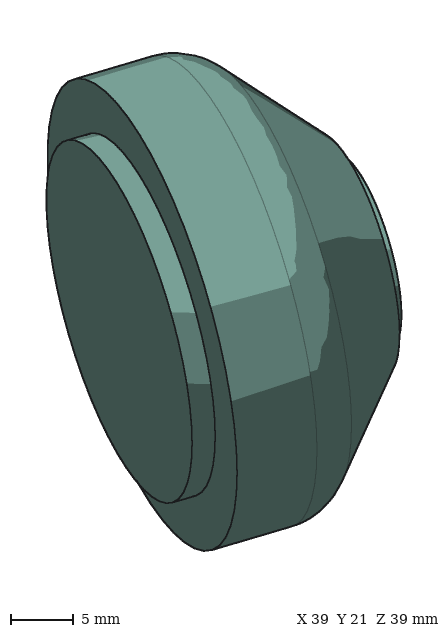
import cadquery as cq

body_diameter = 39.0
total_length = 21.0
front_disc_diameter = 30.0
front_disc_length = 2.0
rim_length = 9.0
shoulder_radius = 5.0
cone_end_diameter = 20.0
back_disc_diameter = 16.0
back_disc_length = 1.0

rim_start = front_disc_length
shoulder = rim_start + rim_length
cone_end = total_length - back_disc_length


def disc(diameter, start, length):
    """Solid disc on the Y axis, extending toward +Y from start."""
    plane = cq.Workplane("XZ", origin=(0, start, 0))
    return plane.circle(diameter / 2).extrude(-length)


def tapered_body():
    """Rim and cone revolved about Y, with a rounded shoulder between them."""
    profile = (
        cq.Workplane("XY")
        .moveTo(0, rim_start)
        .lineTo(body_diameter / 2, rim_start)
        .lineTo(body_diameter / 2, shoulder)
        .lineTo(cone_end_diameter / 2, cone_end)
        .lineTo(0, cone_end)
        .close()
    )
    body = profile.revolve(360, (0, 0, 0), (0, 1, 0))
    shoulder_edge = cq.selectors.RadiusNthSelector(-1)
    shoulder_side = body.edges("%CIRCLE").edges(shoulder_edge).edges(">Y")
    return shoulder_side.fillet(shoulder_radius)


front_disc = disc(front_disc_diameter, 0, front_disc_length)
back_disc = disc(back_disc_diameter, cone_end, back_disc_length)
result = tapered_body().union(front_disc).union(back_disc)